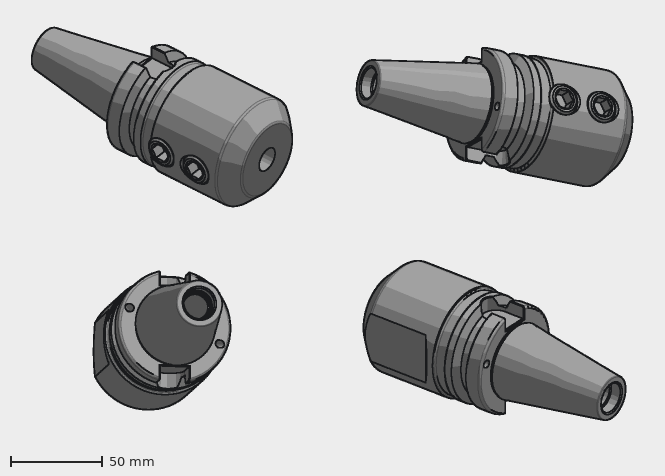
import cadquery as cq
import math

TOTAL_LENGTH = 155.4
TAPER_LENGTH = 65.6
FLANGE_FACE = 67.3
FLANGE_REAR = 76.8
GROOVE_START = 79.7
GROOVE_END = 84.2
COLLAR_START = 86.9
COLLAR_END = 91.7
NOSE_START = 99.3

TAPER_RATIO = 7 / 24
TAPER_BIG_RADIUS = 22.4
TAPER_SMALL_RADIUS = TAPER_BIG_RADIUS - TAPER_LENGTH * TAPER_RATIO / 2
FLANGE_RADIUS = 31.5
GROOVE_RADIUS = 26.4
NECK_RADIUS = 30.6
NOSE_RADIUS = 32.5
NOSE_CHAMFER = 10.1

RELIEF_RADIUS = 21.6
RELIEF_SLOPE = 1.2

TIP_ROUND = 0.5
FLANGE_ROUND = 1.4
NECK_REAR_FILLET = 0.85
NECK_FRONT_FILLET = 1.0
NOSE_ROUND = 2.0

BORE_RADIUS = 7.0
THREAD_RADIUS = 8.0
THREAD_START = 7.6
THREAD_END = 10.9
COUNTERBORE_RADIUS = 8.5
COUNTERBORE_DEPTH = 6.8
BORE_MOUTH_RADIUS = 9.5
BORE_MOUTH_DEPTH = 0.6

SLOT_WIDTH = 16.2
SLOT_FLOOR = 22.5
SLOT_END = 88.6
SLOT_RIM_CHAMFER = 0.5
SLOT_LIP_LENGTH = 1.0
SLOT_LIP_DROP = 0.5

FLAT_HEIGHT = 28.7
FLAT_TOP_START = 103.2

COOLANT_RADIUS = 2.2
COOLANT_PITCH_RADIUS = 26.9
COOLANT_ANGLE = 20.0
COOLANT_TILT = 30.0
COOLANT_DEPTH = 15.5

SCREW_POSITIONS = (106.0, 130.4)
SCREW_RADIUS = 8.9
SCREW_CHAMFER = 1.4
SCREW_INNER_END = 12.5
SEAT_RADIUS = 10.0
SEAT_DEPTH = SEAT_RADIUS - SCREW_RADIUS
SCREW_LENGTH = NOSE_RADIUS - SCREW_INNER_END
HEX_WIDTH = 10.0
HEX_DEPTH = 7.8
HEX_MOUTH_RADIUS = 6.0
HEX_MOUTH_SLOPE = 30.0

TOLERANCE = 0.02


def fillet_ring(solid, x, radius, size):
    """Round the circular edge of the given radius at station x."""
    rings = [
        edge
        for edge in solid.edges("%CIRCLE").vals()
        if abs(edge.Center().x - x) < TOLERANCE and abs(edge.radius() - radius) < TOLERANCE
    ]
    return solid.newObject(rings).fillet(size)


def turned_blank():
    """Solid of revolution carrying the taper, flange, groove, neck and nose."""
    profile = [
        (0, 0),
        (0, TAPER_SMALL_RADIUS),
        (TAPER_LENGTH, TAPER_BIG_RADIUS),
        (TAPER_LENGTH + RELIEF_SLOPE, RELIEF_RADIUS),
        (FLANGE_FACE, RELIEF_RADIUS),
        (FLANGE_FACE, FLANGE_RADIUS),
        (FLANGE_REAR, FLANGE_RADIUS),
        (GROOVE_START, GROOVE_RADIUS),
        (GROOVE_END, GROOVE_RADIUS),
        (COLLAR_START, FLANGE_RADIUS),
        (COLLAR_END, FLANGE_RADIUS),
        (COLLAR_END, NECK_RADIUS),
        (NOSE_START, NECK_RADIUS),
        (NOSE_START, NOSE_RADIUS),
        (TOTAL_LENGTH - NOSE_CHAMFER, NOSE_RADIUS),
        (TOTAL_LENGTH, NOSE_RADIUS - NOSE_CHAMFER),
        (TOTAL_LENGTH, 0),
    ]
    blank = cq.Workplane("XY").polyline(profile).close().revolve(360, (0, 0, 0), (1, 0, 0))
    rounded_edges = [
        (0, TAPER_SMALL_RADIUS, TIP_ROUND),
        (FLANGE_FACE, FLANGE_RADIUS, FLANGE_ROUND),
        (COLLAR_END, NECK_RADIUS, NECK_REAR_FILLET),
        (NOSE_START, NECK_RADIUS, NECK_FRONT_FILLET),
        (TOTAL_LENGTH - NOSE_CHAMFER, NOSE_RADIUS, NOSE_ROUND),
        (TOTAL_LENGTH, NOSE_RADIUS - NOSE_CHAMFER, NOSE_ROUND),
    ]
    for x, radius, size in rounded_edges:
        blank = fillet_ring(blank, x, radius, size)
    return blank


def bore():
    """Through bore with a chamfered counterbore at the small end of the taper."""
    profile = [
        (0, 0),
        (0, BORE_MOUTH_RADIUS),
        (BORE_MOUTH_DEPTH, COUNTERBORE_RADIUS),
        (COUNTERBORE_DEPTH, COUNTERBORE_RADIUS),
        (THREAD_START, THREAD_RADIUS),
        (THREAD_END, THREAD_RADIUS),
        (THREAD_END, BORE_RADIUS),
        (TOTAL_LENGTH, BORE_RADIUS),
        (TOTAL_LENGTH, 0),
    ]
    return cq.Workplane("XY").polyline(profile).close().revolve(360, (0, 0, 0), (1, 0, 0))


def drive_slot(side):
    """Round-ended slot through the flange; side is +1 for +Z and -1 for -Z."""
    half = SLOT_WIDTH / 2
    return (
        cq.Workplane("XY", origin=(0, 0, side * SLOT_FLOOR))
        .moveTo(TAPER_LENGTH, -half)
        .lineTo(SLOT_END - half, -half)
        .threePointArc((SLOT_END, 0), (SLOT_END - half, half))
        .lineTo(TAPER_LENGTH, half)
        .close()
        .extrude(side * (NOSE_RADIUS - SLOT_FLOOR))
    )


def slot_lip(side):
    """Bevel that slopes from the slot floor down to the flange face."""
    return (
        cq.Workplane("XZ")
        .polyline([
            (FLANGE_FACE, side * SLOT_FLOOR),
            (FLANGE_FACE + SLOT_LIP_LENGTH, side * SLOT_FLOOR),
            (FLANGE_FACE, side * (SLOT_FLOOR - SLOT_LIP_DROP)),
        ])
        .close()
        .extrude(SLOT_WIDTH / 2, both=True)
    )


def chamfer_slot_rims(holder):
    """Bevel the slot edges that lie on the outside of the flange and the collar."""

    def on_slot_rim(edge):
        middle = edge.positionAt(0.5)
        return (
            abs(math.hypot(middle.y, middle.z) - FLANGE_RADIUS) < TOLERANCE
            and abs(middle.y) < SLOT_WIDTH / 2 + TOLERANCE
            and FLANGE_FACE < middle.x < SLOT_END + TOLERANCE
        )

    rims = [edge for edge in holder.edges().vals() if on_slot_rim(edge)]
    return holder.newObject(rims).chamfer(SLOT_RIM_CHAMFER)


def side_flat():
    """Flat along the nose with a 45 degree run-out at its rear end."""
    drop = NOSE_RADIUS - FLAT_HEIGHT
    return (
        cq.Workplane("XY")
        .polyline([
            (FLAT_TOP_START, NOSE_RADIUS),
            (FLAT_TOP_START + drop, FLAT_HEIGHT),
            (TOTAL_LENGTH, FLAT_HEIGHT),
            (TOTAL_LENGTH, NOSE_RADIUS),
        ])
        .close()
        .extrude(NOSE_RADIUS, both=True)
    )


def coolant_hole(angle):
    """Blind hole in the flange face that leans towards the axis."""
    tilt = math.radians(COOLANT_TILT)
    turn = math.radians(angle)
    outward = cq.Vector(0, math.cos(turn), math.sin(turn))
    direction = cq.Vector(math.cos(tilt), 0, 0) - outward * math.sin(tilt)
    mouth = cq.Vector(FLANGE_FACE, 0, 0) + outward * COOLANT_PITCH_RADIUS
    start = mouth - direction * COOLANT_RADIUS
    return cq.Solid.makeCylinder(COOLANT_RADIUS, COOLANT_DEPTH + COOLANT_RADIUS, start, direction)


def screw_workplane(x, distance):
    """Plane facing -Y at the given distance from the axis, centred on a screw."""
    return cq.Workplane("XZ", origin=(x, -distance, 0))


def screw_hole(x):
    """Hole that fits one screw, countersunk at the nose surface."""
    hole = screw_workplane(x, SCREW_INNER_END).circle(SCREW_RADIUS).extrude(SCREW_LENGTH)
    seat = cq.Solid.makeCone(
        SEAT_RADIUS, SCREW_RADIUS, SEAT_DEPTH, cq.Vector(x, -NOSE_RADIUS, 0), cq.Vector(0, 1, 0)
    )
    return hole.union(cq.Workplane(seat))


def build_holder():
    holder = turned_blank().cut(bore())
    for side in (1, -1):
        holder = holder.cut(drive_slot(side)).cut(slot_lip(side))
    holder = chamfer_slot_rims(holder)
    holder = holder.cut(side_flat())
    for angle in (COOLANT_ANGLE, COOLANT_ANGLE + 180):
        holder = holder.cut(cq.Workplane(coolant_hole(angle)))
    for x in SCREW_POSITIONS:
        holder = holder.cut(screw_hole(x))
    return holder


def build_clamp_screw(x):
    """Headless screw, flush with the nose radius, with a hexagon socket."""
    screw = (
        screw_workplane(x, SCREW_INNER_END)
        .circle(SCREW_RADIUS)
        .extrude(SCREW_LENGTH)
        .faces("<Y")
        .chamfer(SCREW_CHAMFER)
    )
    corner_diameter = HEX_WIDTH / math.cos(math.radians(30))
    socket = screw_workplane(x, NOSE_RADIUS - HEX_DEPTH).polygon(6, corner_diameter).extrude(HEX_DEPTH)
    mouth_depth = HEX_MOUTH_RADIUS * math.tan(math.radians(HEX_MOUTH_SLOPE))
    mouth = cq.Solid.makeCone(
        HEX_MOUTH_RADIUS, 0, mouth_depth, cq.Vector(x, -NOSE_RADIUS, 0), cq.Vector(0, 1, 0)
    )
    return screw.cut(socket).cut(cq.Workplane(mouth))


holder = build_holder()
clamp_screws = [build_clamp_screw(x) for x in SCREW_POSITIONS]

result = cq.Compound.makeCompound([holder.val(), *[screw.val() for screw in clamp_screws]])